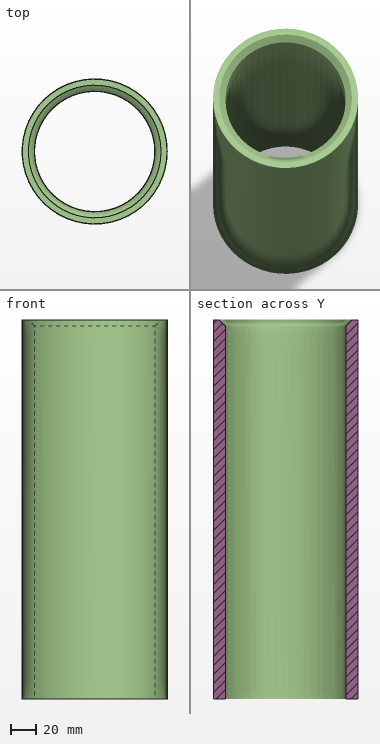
import cadquery as cq

length = 300.0
outer_diameter = 115.0
bore_diameter = 95.0
mouth_diameter = 105.0
bevel = (mouth_diameter - bore_diameter) / 2

tube = (
    cq.Workplane("XY")
    .circle(outer_diameter / 2)
    .circle(bore_diameter / 2)
    .extrude(length)
)

bore_top_edge = cq.selectors.RadiusNthSelector(0)
result = tube.faces(">Z").edges(bore_top_edge).chamfer(bevel)